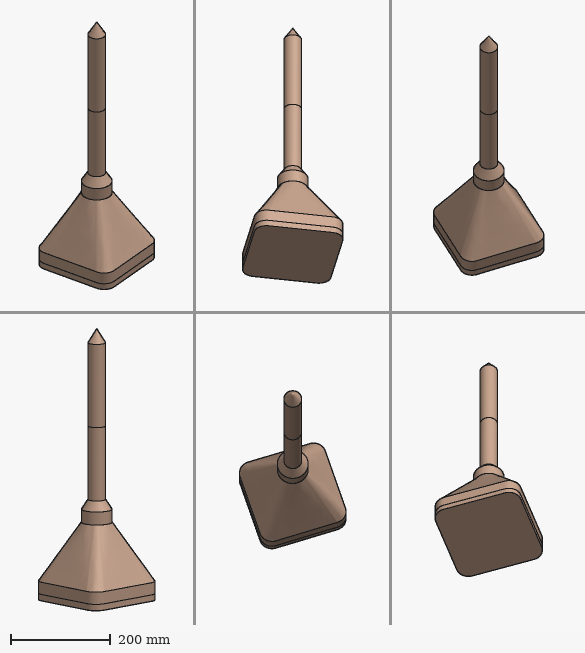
import cadquery as cq
import math

TOTAL_HEIGHT = 554.0
BASE_WIDTH = 180.0
CORNER_RADIUS = 25.0
ROD_DIAMETER = 36.0
COLLAR_DIAMETER = 62.0

PLATE_HEIGHT = 13.5
SKIRT_HEIGHT = 25.0
TAPER_HEIGHT = 120.0
COLLAR_BAND_HEIGHT = 26.5
COLLAR_CONE_HEIGHT = 20.0
LOWER_ROD_HEIGHT = 150.0
TIP_HEIGHT = 29.0

HOUSING_BOTTOM = PLATE_HEIGHT
COLLAR_BOTTOM = HOUSING_BOTTOM + SKIRT_HEIGHT + TAPER_HEIGHT
LOWER_ROD_BOTTOM = COLLAR_BOTTOM + COLLAR_BAND_HEIGHT + COLLAR_CONE_HEIGHT
UPPER_ROD_BOTTOM = LOWER_ROD_BOTTOM + LOWER_ROD_HEIGHT


def rounded_square(bottom, height):
    """Square block with rounded vertical corners, standing at the given level."""
    return (
        cq.Workplane("XY", origin=(0, 0, bottom))
        .rect(BASE_WIDTH, BASE_WIDTH)
        .extrude(height)
        .edges("|Z")
        .fillet(CORNER_RADIUS)
    )


def neck_outline():
    """Circle split into arcs that face the straight sides and rounded corners of the skirt."""
    radius = COLLAR_DIAMETER / 2
    side_half_angle = math.atan2(BASE_WIDTH / 2 - CORNER_RADIUS, BASE_WIDTH / 2)

    def point(angle):
        return (radius * math.cos(angle), radius * math.sin(angle))

    outline = cq.Workplane("XY", origin=(0, 0, COLLAR_BOTTOM)).moveTo(*point(-side_half_angle))
    for quarter in range(4):
        side_middle = quarter * math.pi / 2
        corner_middle = side_middle + math.pi / 4
        side_end = side_middle + side_half_angle
        corner_end = side_middle + math.pi / 2 - side_half_angle
        outline = outline.threePointArc(point(side_middle), point(side_end))
        outline = outline.threePointArc(point(corner_middle), point(corner_end))
    return outline.wire().val()


def make_base_plate():
    """Flat plate that closes the bottom of the housing."""
    return rounded_square(0, PLATE_HEIGHT)


def make_housing():
    """Rounded square skirt that tapers up to a round neck as wide as the collar."""
    skirt = rounded_square(HOUSING_BOTTOM, SKIRT_HEIGHT)
    taper = cq.Workplane(cq.Solid.makeLoft([skirt.faces(">Z").wires().val(), neck_outline()], True))
    return skirt.union(taper)


def make_collar():
    """Cylindrical band with a cone above it that narrows to the rod diameter."""
    collar_radius = COLLAR_DIAMETER / 2
    cone_top = COLLAR_BAND_HEIGHT + COLLAR_CONE_HEIGHT
    return (
        cq.Workplane("XZ", origin=(0, 0, COLLAR_BOTTOM))
        .lineTo(collar_radius, 0)
        .lineTo(collar_radius, COLLAR_BAND_HEIGHT)
        .lineTo(ROD_DIAMETER / 2, cone_top)
        .lineTo(0, cone_top)
        .close()
        .revolve(360, (0, 0, 0), (0, 1, 0))
    )


def make_lower_rod():
    """Plain round rod standing on the collar."""
    return (
        cq.Workplane("XY", origin=(0, 0, LOWER_ROD_BOTTOM))
        .circle(ROD_DIAMETER / 2)
        .extrude(LOWER_ROD_HEIGHT)
    )


def make_upper_rod():
    """Round rod that continues the lower one and ends in a sharp conical tip."""
    rod_radius = ROD_DIAMETER / 2
    length = TOTAL_HEIGHT - UPPER_ROD_BOTTOM
    return (
        cq.Workplane("XZ", origin=(0, 0, UPPER_ROD_BOTTOM))
        .lineTo(rod_radius, 0)
        .lineTo(rod_radius, length - TIP_HEIGHT)
        .lineTo(0, length)
        .close()
        .revolve(360, (0, 0, 0), (0, 1, 0))
    )


base_plate = make_base_plate()
housing = make_housing()
collar = make_collar()
lower_rod = make_lower_rod()
upper_rod = make_upper_rod()

result = cq.Compound.makeCompound(
    [base_plate.val(), housing.val(), collar.val(), lower_rod.val(), upper_rod.val()]
)